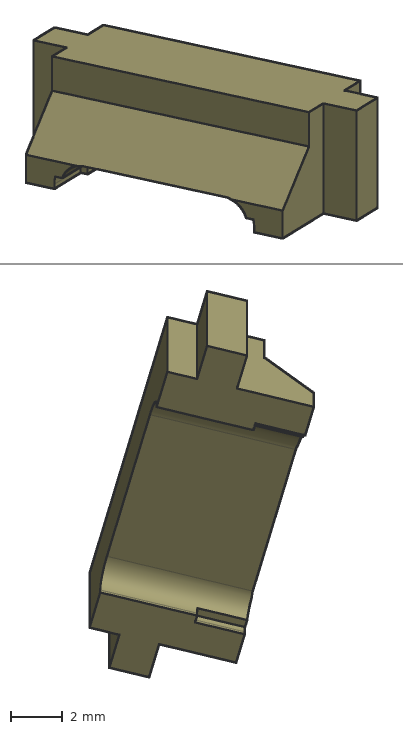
import cadquery as cq

overall_length = 14.6
body_length = 11.6
depth = 5.9
height = 4.6

tab_width = 1.6
tab_to_back = 1.2

top_depth = 3.9
upper_face_height = 1.43

arch_width = 8.41
arch_height = 1.2
arch_radius = 1.0

relief_offset = 0.3
relief_height = 0.53

slope_run = depth - top_depth
front_face_height = height - upper_face_height - slope_run
front_y = -depth / 2
back_y = depth / 2


def make_body():
    """Sloped block, extruded along X from its side profile."""
    return (
        cq.Workplane("YZ")
        .moveTo(back_y, 0)
        .lineTo(back_y, height)
        .lineTo(back_y - top_depth, height)
        .lineTo(back_y - top_depth, height - upper_face_height)
        .lineTo(front_y, front_face_height)
        .lineTo(front_y, 0)
        .close()
        .extrude(body_length / 2, both=True)
    )


def make_tabs():
    """Bar through the body whose two ends stand out as the tabs."""
    tab_center_y = back_y - tab_to_back - tab_width / 2
    return (
        cq.Workplane("XY")
        .center(0, tab_center_y)
        .rect(overall_length, tab_width)
        .extrude(height)
    )


def make_arch(offset, length):
    """Round-shouldered opening, grown outward by offset, running back from the front face."""
    top = arch_height + offset
    return (
        cq.Workplane("XZ", origin=(0, front_y, 0))
        .rect(arch_width + 2 * offset, 2 * top)
        .extrude(-length)
        .edges("|Y")
        .fillet(arch_radius + offset)
    )


def make_relief():
    """Foot of the widened arch, cut off at the relief height."""
    slab = cq.Workplane("XY").box(overall_length, depth, relief_height, centered=(True, True, False))
    return make_arch(relief_offset, slope_run).intersect(slab)


result = make_body().union(make_tabs())
result = result.cut(make_arch(0, depth)).cut(make_relief())